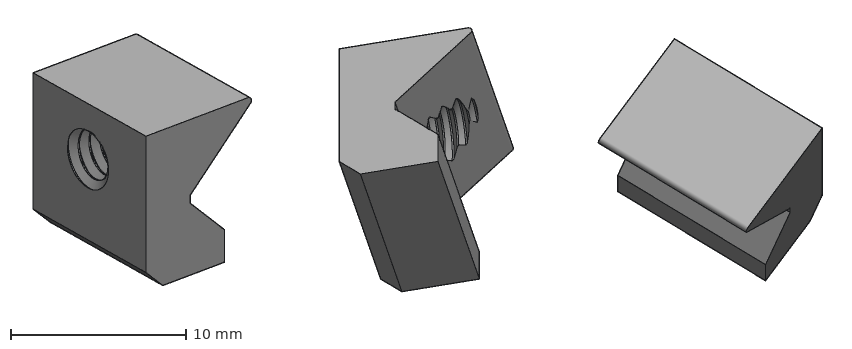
import cadquery as cq
import math

WIDTH = 10.16
DEPTH = 7.79
HEIGHT = 10.01

FOOT_DEPTH = 5.80
FOOT_BACK_HEIGHT = 2.10
FOOT_CHAMFER = 1.25
WEB_THICKNESS = 3.28
LIP_RADIUS = 0.25

HOLE_X = 5.0
HOLE_Z = 6.69
MAJOR_DIAMETER = 4.17
THREADS_PER_INCH = 32
INCH = 25.4
PITCH = INCH / THREADS_PER_INCH
MAJOR_RADIUS = MAJOR_DIAMETER / 2
FLAT = PITCH / 8
FLANK_SLOPE = math.tan(math.radians(30))
THREAD_DEPTH = (PITCH / 2 - FLAT) / FLANK_SLOPE
MINOR_RADIUS = MAJOR_RADIUS - THREAD_DEPTH
GROOVE_OVERLAP = 0.05
START_ANGLE = -100
LEAD_IN_TURNS = 2
LEAD_OUT_TURNS = 2


def make_body():
    """Extrude the side profile, with its 45 degree notch flanks, across the width."""
    notch_floor_bottom = FOOT_BACK_HEIGHT + FOOT_DEPTH - WEB_THICKNESS
    lip_y = DEPTH - LIP_RADIUS
    lip_z = HEIGHT - LIP_RADIUS
    lip_start_angle = -45
    lip_end_angle = 90

    def lip_point(degrees):
        angle = math.radians(degrees)
        return lip_y + LIP_RADIUS * math.cos(angle), lip_z + LIP_RADIUS * math.sin(angle)

    flank_end_y, flank_end_z = lip_point(lip_start_angle)
    notch_floor_top = flank_end_z - (flank_end_y - WEB_THICKNESS)
    lip_middle = lip_point((lip_start_angle + lip_end_angle) / 2)
    return (
        cq.Workplane("YZ")
        .moveTo(FOOT_CHAMFER, 0)
        .lineTo(FOOT_DEPTH, 0)
        .lineTo(FOOT_DEPTH, FOOT_BACK_HEIGHT)
        .lineTo(WEB_THICKNESS, notch_floor_bottom)
        .lineTo(WEB_THICKNESS, notch_floor_top)
        .lineTo(flank_end_y, flank_end_z)
        .threePointArc(lip_middle, lip_point(lip_end_angle))
        .lineTo(0, HEIGHT)
        .lineTo(0, FOOT_CHAMFER)
        .close()
        .extrude(WIDTH)
    )


def place_on_hole_axis(cutter):
    """Move a cutter built along +Z onto the hole axis, pointing along +Y."""
    return cutter.rotate((0, 0, 0), (1, 0, 0), -90).translate((HOLE_X, 0, HOLE_Z))


def make_bore():
    return place_on_hole_axis(cq.Workplane("XY").circle(MINOR_RADIUS).extrude(DEPTH))


def make_thread_groove():
    """Sweep the trapezoidal groove section along a right-hand helix."""
    lead_in = LEAD_IN_TURNS * PITCH
    turns = math.ceil(DEPTH / PITCH) + LEAD_IN_TURNS + LEAD_OUT_TURNS
    inner_radius = MINOR_RADIUS - GROOVE_OVERLAP
    half_root = FLAT / 2
    half_mouth = half_root + (MAJOR_RADIUS - inner_radius) * FLANK_SLOPE
    helix = cq.Wire.makeHelix(PITCH, turns * PITCH, MINOR_RADIUS)
    groove = (
        cq.Workplane("XZ")
        .moveTo(inner_radius, -half_mouth)
        .lineTo(MAJOR_RADIUS, -half_root)
        .lineTo(MAJOR_RADIUS, half_root)
        .lineTo(inner_radius, half_mouth)
        .close()
        .sweep(cq.Workplane(obj=helix), isFrenet=True)
        .rotate((0, 0, 0), (0, 0, 1), -START_ANGLE)
        .translate((0, 0, -lead_in))
    )
    return place_on_hole_axis(groove)


result = make_body().cut(make_thread_groove()).cut(make_bore())